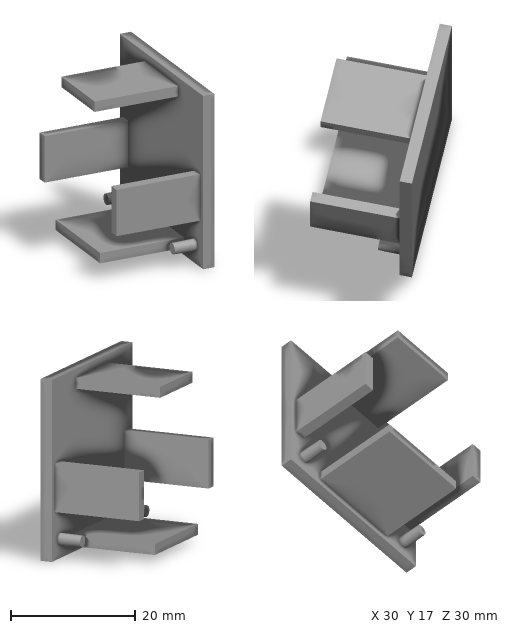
import cadquery as cq

plate_side = 30
plate_thickness = 2.0

tab_length = 15
tab_thickness = 1.8
top_tab_width = 12
bottom_tab_width = 16.02
side_tab_height = 8.05
top_tab_z = 12.6
bottom_tab_z = -12.9
side_tab_x = 12.9
side_tab_z = -3

pin_base_diameter = 2.0
pin_tip_diameter = 1.9
pin_length = 4.02
pin_x = 11.9
pin_z = -11.82


def tab(width, height, x, z):
    """Rectangular tab projecting from the plate's front face (y = 0) toward -Y."""
    return cq.Workplane("XZ").center(x, z).rect(width, height).extrude(tab_length)


def pin(x):
    """Tapered pin, widest where it meets the plate, projecting toward -Y."""
    base = cq.Workplane("XZ").center(x, pin_z).circle(pin_base_diameter / 2)
    return base.workplane(offset=pin_length).circle(pin_tip_diameter / 2).loft()


result = cq.Workplane("XZ").rect(plate_side, plate_side).extrude(-plate_thickness)
result = result.union(tab(top_tab_width, tab_thickness, 0, top_tab_z))
result = result.union(tab(bottom_tab_width, tab_thickness, 0, bottom_tab_z))
for side in (-1, 1):
    result = result.union(tab(tab_thickness, side_tab_height, side * side_tab_x, side_tab_z))
    result = result.union(pin(side * pin_x))